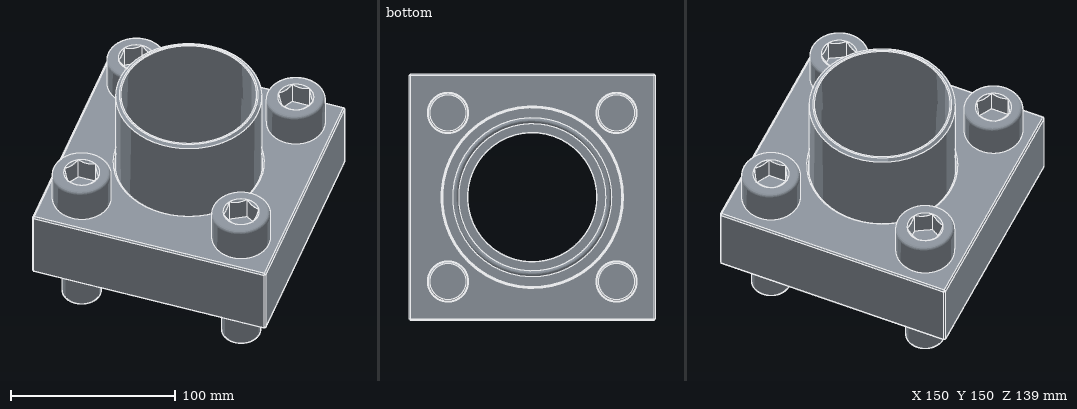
import cadquery as cq
import math

OVERALL_HEIGHT = 139.0
SHANK_PROTRUSION = 32.0
FLANGE_SIDE = 150.0
FLANGE_HEIGHT = 48.0
FLANGE_CHAMFER = 1.0
BOLT_CIRCLE_DIA = 145.0
CORNERS = [(-1, -1), (-1, 1), (1, -1), (1, 1)]
BOLT_OFFSET = BOLT_CIRCLE_DIA / 2 / math.sqrt(2)

NECK_TOP = OVERALL_HEIGHT - SHANK_PROTRUSION
NECK_DIA = 89.0
NECK_BORE_DIA = 82.5
NECK_BORE_DEPTH = 29.5
NECK_THROAT_DIA = 78.5
BEVEL_TOP_DIA = 84.5
BEVEL_HEIGHT = 1.4
COLLAR_DIA = 110.0
COLLAR_PROTRUSION = 2.0
COLLAR_CHAMFER = 0.5
COLLAR_TOP = FLANGE_HEIGHT / 2

FLANGE_BORE_DIA = 90.0
FLANGE_BORE_CHAMFER = 1.0
RECESS_DIA = 111.0
BOLT_HOLE_DIA = 25.0

GROOVE_INNER_DIA = 89.5
GROOVE_OUTER_DIA = 96.8
RING_THICKNESS = (GROOVE_OUTER_DIA - GROOVE_INNER_DIA) / 2
RING_CENTRE_RADIUS = (GROOVE_OUTER_DIA + GROOVE_INNER_DIA) / 4
RING_PROTRUSION = 1.2
GROOVE_DEPTH = RING_THICKNESS - RING_PROTRUSION

SHANK_DIA = 24.0
SHANK_CHAMFER = 1.0
HEAD_DIA = 36.0
HEAD_HEIGHT = 24.0
HEAD_FILLET = 2.4
SOCKET_CORNER_DIA = 21.9
SOCKET_FLAT_WIDTH = SOCKET_CORNER_DIA * math.cos(math.radians(30))
SOCKET_DEPTH = 15.0
COUNTERSINK_DEPTH = (SOCKET_CORNER_DIA - SOCKET_FLAT_WIDTH) / 2


def cylinder(diameter, bottom, top):
    """Upright cylinder on the Z axis between two heights."""
    return cq.Workplane("XY").workplane(offset=bottom).circle(diameter / 2).extrude(top - bottom)


def make_flange():
    """Chamfered square block with a central bore, a collar recess below and four bolt holes."""
    flange = cq.Workplane("XY").box(FLANGE_SIDE, FLANGE_SIDE, FLANGE_HEIGHT, centered=(True, True, False))
    flange = flange.edges().chamfer(FLANGE_CHAMFER)
    flange = flange.cut(cylinder(FLANGE_BORE_DIA, 0, FLANGE_HEIGHT))
    flange = flange.faces(">Z").edges("%CIRCLE").chamfer(FLANGE_BORE_CHAMFER)
    flange = flange.cut(cylinder(RECESS_DIA, 0, COLLAR_TOP))
    bolt_hole = cylinder(BOLT_HOLE_DIA, 0, FLANGE_HEIGHT)
    for x_side, y_side in CORNERS:
        flange = flange.cut(bolt_hole.translate((x_side * BOLT_OFFSET, y_side * BOLT_OFFSET, 0)))
    return flange


def make_neck():
    """Revolved pipe end with a bevelled rim, a tapered bore and a collar at the bottom."""
    profile = [
        (NECK_THROAT_DIA / 2, -COLLAR_PROTRUSION),
        (COLLAR_DIA / 2 - COLLAR_CHAMFER, -COLLAR_PROTRUSION),
        (COLLAR_DIA / 2, COLLAR_CHAMFER - COLLAR_PROTRUSION),
        (COLLAR_DIA / 2, COLLAR_TOP),
        (NECK_DIA / 2, COLLAR_TOP),
        (NECK_DIA / 2, NECK_TOP - BEVEL_HEIGHT),
        (BEVEL_TOP_DIA / 2, NECK_TOP),
        (NECK_BORE_DIA / 2, NECK_TOP),
        (NECK_BORE_DIA / 2, NECK_TOP - NECK_BORE_DEPTH),
    ]
    neck = cq.Workplane("XZ").polyline(profile).close().revolve(360, (0, 0, 0), (0, 1, 0))
    groove_ceiling = GROOVE_DEPTH - COLLAR_PROTRUSION
    groove = cylinder(GROOVE_OUTER_DIA, -COLLAR_PROTRUSION, groove_ceiling)
    groove = groove.cut(cylinder(GROOVE_INNER_DIA, -COLLAR_PROTRUSION, groove_ceiling))
    return neck.cut(groove)


def make_seal_ring():
    """Round-section ring that fills the groove width and stands out below the collar."""
    ring_height = GROOVE_DEPTH - COLLAR_PROTRUSION - RING_THICKNESS / 2
    section = cq.Workplane("XZ").center(RING_CENTRE_RADIUS, ring_height).circle(RING_THICKNESS / 2)
    return section.revolve(360, (-RING_CENTRE_RADIUS, 0, 0), (-RING_CENTRE_RADIUS, 1, 0))


def make_socket(head_top):
    """Hexagonal recess whose mouth is countersunk from the corners down to the flats."""
    floor = cq.Workplane("XY").workplane(offset=head_top - SOCKET_DEPTH)
    hexagon = floor.polygon(6, SOCKET_CORNER_DIA).extrude(SOCKET_DEPTH)
    mouth = cq.Workplane("XY").workplane(offset=head_top - COUNTERSINK_DEPTH)
    countersink = mouth.circle(SOCKET_FLAT_WIDTH / 2).workplane(offset=COUNTERSINK_DEPTH)
    countersink = countersink.circle(SOCKET_CORNER_DIA / 2).loft()
    return hexagon.union(countersink)


def make_screw(x_side, y_side):
    """Cap screw at one corner of the bolt pattern; the socket is turned a quarter on one diagonal pair."""
    head_top = FLANGE_HEIGHT + HEAD_HEIGHT
    head = cylinder(HEAD_DIA, FLANGE_HEIGHT, head_top).edges().fillet(HEAD_FILLET)
    shank = cylinder(SHANK_DIA, -SHANK_PROTRUSION, FLANGE_HEIGHT)
    shank = shank.faces("<Z").edges().chamfer(SHANK_CHAMFER)
    socket_turn = 0 if x_side == y_side else 90
    socket = make_socket(head_top).rotate((0, 0, 0), (0, 0, 1), socket_turn)
    screw = head.union(shank).cut(socket)
    return screw.translate((x_side * BOLT_OFFSET, y_side * BOLT_OFFSET, 0))


flange = make_flange()
neck = make_neck()
seal_ring = make_seal_ring()
screws = [make_screw(x_side, y_side) for x_side, y_side in CORNERS]

result = cq.Compound.makeCompound(
    [flange.val(), neck.val(), seal_ring.val(), *[screw.val() for screw in screws]]
)